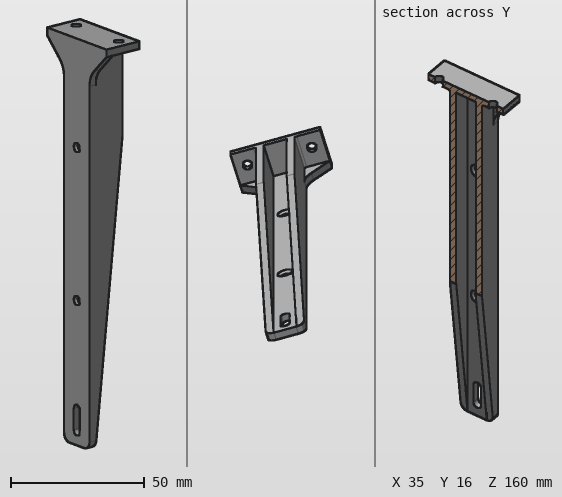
import cadquery as cq
import math

height = 160.0
depth = 16.0
head_width = 35.0
beam_width = 15.0
wall = 3.0

flare_height = 17.0
flare_angle = 45.0
flare_radius = 9.5
head_fillet = 1.0

taper_start = 120.0
tip_depth = wall
tip_radius = 3.2

hole_diameter = 3.5
screw_heights = (57.0, 117.1)
slot_height = 10.0
slot_length = 12.0
countersink_depth = 1.1
head_hole_spacing = 25.1
head_hole_y = 10.0


def front_plate():
    """Thin front face: straight beam with a head flaring out on both sides."""
    half_head = head_width / 2
    half_beam = beam_width / 2
    angle = math.radians(flare_angle)
    turn = math.pi / 2 - angle
    arc_start = height - flare_height

    def arc_point(swing):
        x = half_beam + flare_radius * (1 - math.cos(swing))
        return x, arc_start + flare_radius * math.sin(swing)

    arc_middle = arc_point(turn / 2)
    arc_end = arc_point(turn)
    lip_bottom = arc_end[1] + (half_head - arc_end[0]) * math.tan(angle)

    half_plate = (
        cq.Workplane("XZ")
        .lineTo(half_beam, 0)
        .lineTo(half_beam, arc_start)
        .threePointArc(arc_middle, arc_end)
        .lineTo(half_head, lip_bottom)
        .lineTo(half_head, height)
        .lineTo(0, height)
        .close()
        .extrude(-wall)
    )
    return half_plate.union(half_plate.mirror("YZ"))


def tapered_beam():
    """Beam whose back face slopes towards the front down to the tip."""
    return (
        cq.Workplane("YZ")
        .polyline([(0, 0), (tip_depth, 0), (depth, taper_start), (depth, height), (0, height)])
        .close()
        .extrude(beam_width / 2, both=True)
    )


def head_plate():
    """Horizontal mounting plate across the top."""
    return (
        cq.Workplane("XY")
        .workplane(offset=height - wall)
        .rect(head_width, depth)
        .extrude(wall)
        .translate((0, depth / 2, 0))
    )


def head_corner_fillet(side):
    """Concave fillet between one beam side and the underside of the head plate."""
    underside = height - wall
    beam_side = side * beam_width / 2
    reach = head_fillet * (1 - math.sqrt(0.5))
    return (
        cq.Workplane("XZ")
        .moveTo(beam_side, underside)
        .lineTo(beam_side + side * head_fillet, underside)
        .threePointArc(
            (beam_side + side * reach, underside - reach),
            (beam_side, underside - head_fillet),
        )
        .close()
        .extrude(-depth)
    )


def front_holes():
    """Two screw holes and a vertical adjustment slot through the beam."""
    holes = (
        cq.Workplane("XZ")
        .pushPoints([(0, z) for z in screw_heights])
        .circle(hole_diameter / 2)
        .extrude(-depth)
    )
    slot = (
        cq.Workplane("XZ")
        .center(0, slot_height)
        .slot2D(slot_length, hole_diameter, 90)
        .extrude(-depth)
    )
    return holes.union(slot)


def channel():
    """Open back of the beam, leaving the front web and two side walls."""
    return (
        cq.Workplane("XY")
        .rect(beam_width - 2 * wall, depth)
        .extrude(height - wall)
        .translate((0, wall + depth / 2, 0))
    )


def countersink(z):
    """Cone widening a screw hole towards the inside of the channel."""
    hole_radius = hole_diameter / 2
    return cq.Workplane(
        cq.Solid.makeCone(
            hole_radius,
            hole_radius + countersink_depth,
            countersink_depth,
            cq.Vector(0, wall - countersink_depth, z),
            cq.Vector(0, 1, 0),
        )
    )


def head_holes():
    """Two vertical holes, one in each overhanging end of the head plate."""
    half_spacing = head_hole_spacing / 2
    return (
        cq.Workplane("XY")
        .workplane(offset=height - wall)
        .pushPoints([(-half_spacing, head_hole_y), (half_spacing, head_hole_y)])
        .circle(hole_diameter / 2)
        .extrude(wall)
    )


beam = tapered_beam().union(front_plate())
beam = beam.edges("|Y and <Z").fillet(tip_radius)
body = beam.union(head_plate())
for side in (-1, 1):
    body = body.union(head_corner_fillet(side))

body = body.cut(channel())
for screw_height in screw_heights:
    body = body.cut(countersink(screw_height))

result = body.cut(front_holes()).cut(head_holes())